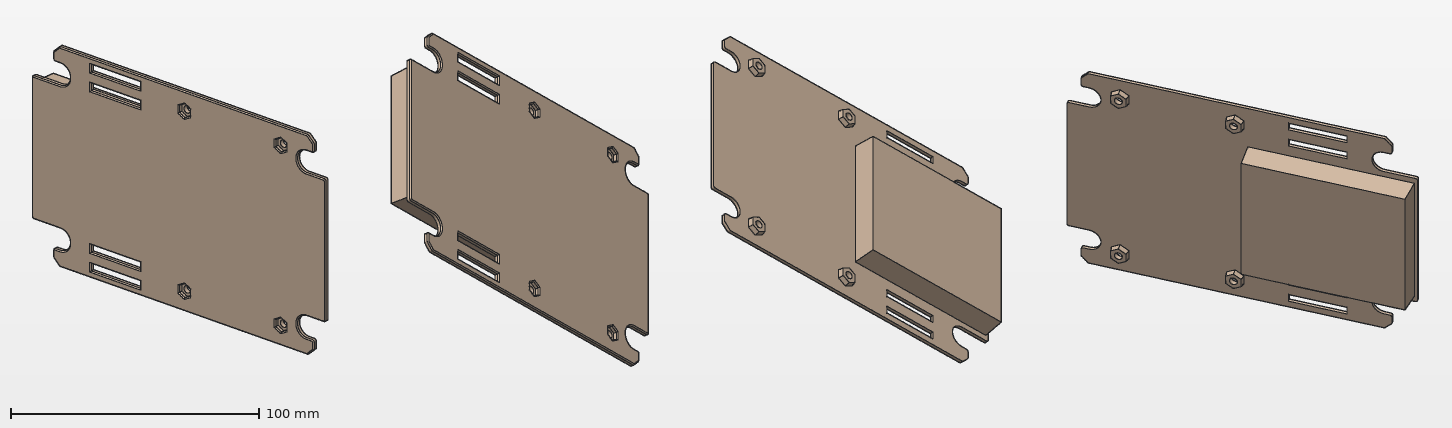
import cadquery as cq
import math

length = 149.2
height = 100.0
plate_thickness = 2.0
edge_chamfer = 0.5

left_tab_inset = 10.9
right_tab_inset = 6.0
tab_height = 7.5
corner_cut = 3.1
corner_radius = 1.0
notch_width = 10.0
left_notch_depth = 19.4
right_notch_depth = 14.5

slot_length = 24.9
slot_height = 3.5
slot_x = -32.0
slot_centres_z = (45.2, 36.7)

boss_base_flats = 7.5
boss_tip_flats = 6.5
boss_height = 2.2
nut_flats = 5.5
screw_diameter = 3.3
boss_centres_x = (3.0, 51.9)
boss_z = 40.9

block_left = -73.2
block_right = -2.4
block_base_height = 59.7
total_depth = 12.0
block_taper = 0.6

block_depth = total_depth - plate_thickness
boss_tip_y = plate_thickness + boss_height
tab_left = left_tab_inset - length / 2
tab_right = length / 2 - right_tab_inset
notch_radius = notch_width / 2
tab_inner_z = height / 2 - tab_height
shoulder_z = tab_inner_z - notch_width
notch_z = shoulder_z + notch_radius


def plane_at(y):
    """Sketch plane at depth y: local axes are X and Z, the normal is -Y."""
    return cq.Workplane(cq.Plane(origin=(0, y, 0), xDir=(1, 0, 0), normal=(0, -1, 0)))


def make_upper_half():
    """Half of the plate above Z = 0, with rounded outer corners."""
    left_notch_x = left_notch_depth - length / 2 - notch_radius
    right_notch_x = length / 2 - right_notch_depth + notch_radius
    left_corners = [(-length / 2, shoulder_z)]
    tab_corners = [
        (tab_left, tab_inner_z),
        (tab_left, height / 2 - corner_cut),
        (tab_left + corner_cut, height / 2),
        (tab_right - corner_cut, height / 2),
        (tab_right, height / 2 - corner_cut),
        (tab_right, tab_inner_z),
    ]
    right_corners = [(length / 2, shoulder_z)]
    half = (
        plane_at(0)
        .moveTo(-length / 2, 0)
        .polyline(left_corners + [(left_notch_x, shoulder_z)], includeCurrent=True)
        .threePointArc((left_notch_x + notch_radius, notch_z), (left_notch_x, tab_inner_z))
        .polyline(tab_corners + [(right_notch_x, tab_inner_z)], includeCurrent=True)
        .threePointArc((right_notch_x - notch_radius, notch_z), (right_notch_x, shoulder_z))
        .polyline(right_corners + [(length / 2, 0)], includeCurrent=True)
        .close()
        .extrude(-plate_thickness)
    )
    corner_edges = []
    for x, z in left_corners + tab_corners + right_corners:
        corner_point = (x, plate_thickness / 2, z)
        corner_edges += half.edges("|Y").edges(cq.NearestToPointSelector(corner_point)).vals()
    return half.newObject(corner_edges).fillet(corner_radius)


def make_plate():
    slots = (
        plane_at(0)
        .pushPoints([(slot_x, side * z) for z in slot_centres_z for side in (1, -1)])
        .rect(slot_length, slot_height).extrude(-plate_thickness)
    )
    upper_half = make_upper_half()
    plate = upper_half.union(upper_half.mirror("XY"))
    return plate.cut(slots).faces("<Y").chamfer(edge_chamfer)


def hexagon_frustum(flats_start, flats_end, y_start, y_end, x, z):
    """Hexagon between two depths, with corners pointing along Z."""
    def corners(flats):
        radius = flats / math.sqrt(3)
        angles = [math.radians(90 + 60 * i) for i in range(6)]
        return [(x + radius * math.cos(a), z + radius * math.sin(a)) for a in angles]

    return (
        plane_at(y_start).polyline(corners(flats_start)).close()
        .workplane(offset=y_start - y_end)
        .polyline(corners(flats_end)).close()
        .loft(ruled=True)
    )


def make_block():
    base_length = block_right - block_left
    return (
        plane_at(plate_thickness).center((block_left + block_right) / 2, 0)
        .rect(base_length, block_base_height)
        .workplane(offset=-block_depth)
        .rect(base_length - 2 * block_taper, block_base_height - 2 * block_taper)
        .loft()
    )


def add_nut_boss(part, x, z):
    boss = hexagon_frustum(boss_base_flats, boss_tip_flats, plate_thickness, boss_tip_y, x, z)
    pocket = hexagon_frustum(nut_flats, nut_flats, 0, plate_thickness, x, z)
    mouth_flats = nut_flats + 2 * edge_chamfer
    mouth = hexagon_frustum(mouth_flats, nut_flats, 0, edge_chamfer, x, z)
    hole = plane_at(0).center(x, z).circle(screw_diameter / 2).extrude(-boss_tip_y)
    return part.union(boss).cut(pocket).cut(mouth).cut(hole)


result = make_plate().union(make_block())
for boss_x in boss_centres_x:
    for side in (1, -1):
        result = add_nut_boss(result, boss_x, side * boss_z)